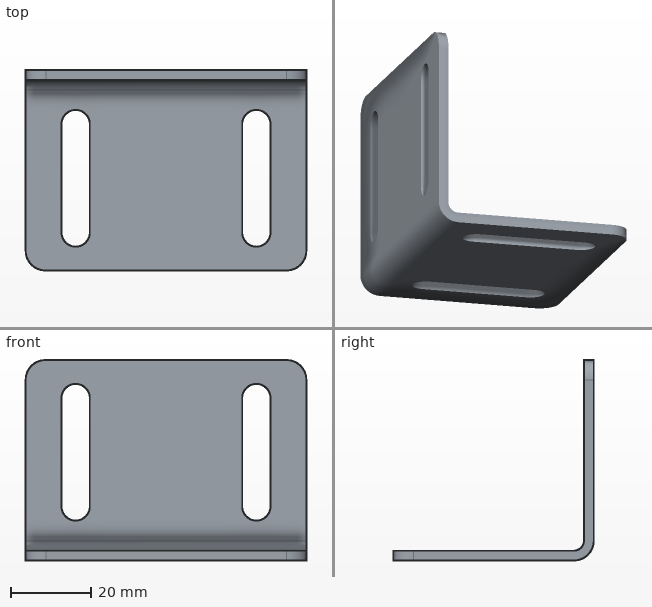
import cadquery as cq

width = 70.0
leg_length = 50.0
thickness = 2.5

bend_inner_radius = 2.5
bend_outer_radius = bend_inner_radius + thickness

corner_radius = 5.0

slot_width = 7.0
slot_length = 34.0
slot_spacing = 45.0
slot_edge_gap = 6.0
slot_center = leg_length - slot_edge_gap - slot_length / 2


def bent_sheet():
    """L profile with its outer corner at the origin, legs along -Y and +Z, centred on X."""
    profile = (
        cq.Workplane("YZ")
        .moveTo(-leg_length, 0)
        .lineTo(0, 0)
        .lineTo(0, leg_length)
        .lineTo(-thickness, leg_length)
        .lineTo(-thickness, thickness)
        .lineTo(-leg_length, thickness)
        .close()
    )
    sheet = profile.extrude(width / 2, both=True)
    outer_edge = cq.selectors.NearestToPointSelector((0, 0, 0))
    inner_edge = cq.selectors.NearestToPointSelector((0, -thickness, thickness))
    sheet = sheet.edges("|X").edges(outer_edge).fillet(bend_outer_radius)
    return sheet.edges("|X").edges(inner_edge).fillet(bend_inner_radius)


def round_free_corners(sheet):
    """Round the two corners at the free end of each leg."""
    sheet = sheet.edges("|Z and <Y").fillet(corner_radius)
    return sheet.edges("|Y and >Z").fillet(corner_radius)


def slot_pair(plane, center):
    """Two slot cutters running along the plane's local Y, reaching through one leg."""
    return (
        cq.Workplane(plane)
        .pushPoints([(-slot_spacing / 2, center), (slot_spacing / 2, center)])
        .slot2D(slot_length, slot_width, angle=90)
        .extrude(thickness)
    )


bracket = round_free_corners(bent_sheet())
bracket = bracket.cut(slot_pair("XY", -slot_center))
bracket = bracket.cut(slot_pair("XZ", slot_center))

result = bracket.translate((0, leg_length / 2, -leg_length / 2))